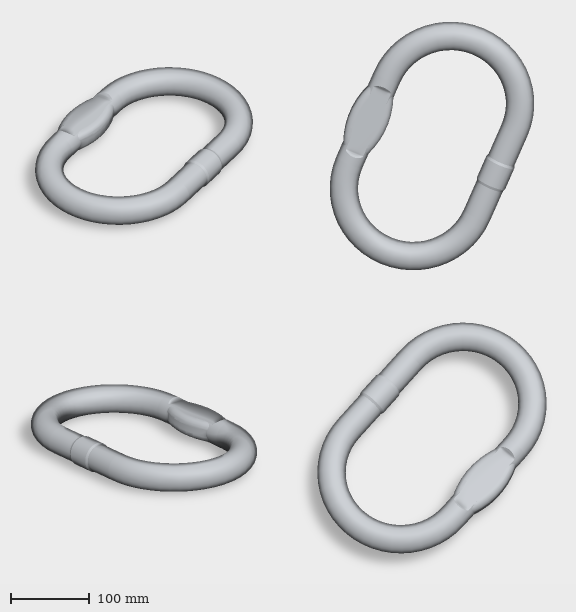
import cadquery as cq

overall_length = 332.0
inner_length = 260.0
straight_length = 120.0
wire_radius = (overall_length - inner_length) / 4
bend_radius = (overall_length - straight_length) / 2 - wire_radius

collar_diameter = 38.8
collar_length = 29.5
collar_taper_length = 3.3

plate_half_width = 25.2
plate_half_chord = 38.2
plate_thickness = 27.0
plate_edge_radius = 9.0

flat_length = 90.3
flat_mouth_length = 98.2
flat_corner_radius = 3.3


def make_ring():
    """Round wire swept once around the oval centreline."""
    half_straight = straight_length / 2
    top_y = half_straight + bend_radius
    centreline = (
        cq.Workplane("XY")
        .moveTo(bend_radius, -half_straight)
        .lineTo(bend_radius, half_straight)
        .threePointArc((0, top_y), (-bend_radius, half_straight))
        .lineTo(-bend_radius, -half_straight)
        .threePointArc((0, -top_y), (bend_radius, -half_straight))
        .close()
    )
    section = cq.Workplane("XZ", origin=(bend_radius, -half_straight, 0)).circle(wire_radius)
    return section.sweep(centreline)


def make_collar():
    """Thicker sleeve with a short cone at each end, around the +X leg."""
    collar_radius = collar_diameter / 2
    outer_half = collar_length / 2 + collar_taper_length
    inner_half = collar_length / 2
    return (
        cq.Workplane("XY")
        .moveTo(0, -outer_half)
        .lineTo(wire_radius, -outer_half)
        .lineTo(collar_radius, -inner_half)
        .lineTo(collar_radius, inner_half)
        .lineTo(wire_radius, outer_half)
        .lineTo(0, outer_half)
        .close()
        .revolve(360, (0, 0, 0), (0, 1, 0))
        .translate((bend_radius, 0, 0))
    )


def make_flat_cutter():
    """Cutter for the upper flat of the -X leg, with sloping ends and rounded corners."""
    floor_z = plate_thickness / 2
    return (
        cq.Workplane("YZ")
        .moveTo(-flat_length / 2, floor_z)
        .lineTo(flat_length / 2, floor_z)
        .lineTo(flat_mouth_length / 2, wire_radius)
        .lineTo(-flat_mouth_length / 2, wire_radius)
        .close()
        .extrude(wire_radius, both=True)
        .faces("<Z")
        .edges("|X")
        .fillet(flat_corner_radius)
        .translate((-bend_radius, 0, 0))
    )


def make_plate():
    """Lens of two equal arcs, with its upper and lower edges rounded."""
    bulge = plate_half_width - wire_radius
    arc_radius = (plate_half_chord**2 + bulge**2) / (2 * bulge)
    arc_offset = arc_radius - plate_half_width
    tip_y = (arc_radius**2 - arc_offset**2) ** 0.5
    return (
        cq.Workplane("XY")
        .moveTo(0, -tip_y)
        .threePointArc((plate_half_width, 0), (0, tip_y))
        .threePointArc((-plate_half_width, 0), (0, -tip_y))
        .close()
        .extrude(plate_thickness / 2, both=True)
        .faces("|Z")
        .edges()
        .fillet(plate_edge_radius)
        .translate((-bend_radius, 0, 0))
    )


flat_cutter = make_flat_cutter()
ring = make_ring().cut(flat_cutter).cut(flat_cutter.mirror("XY"))
result = ring.union(make_collar()).union(make_plate())